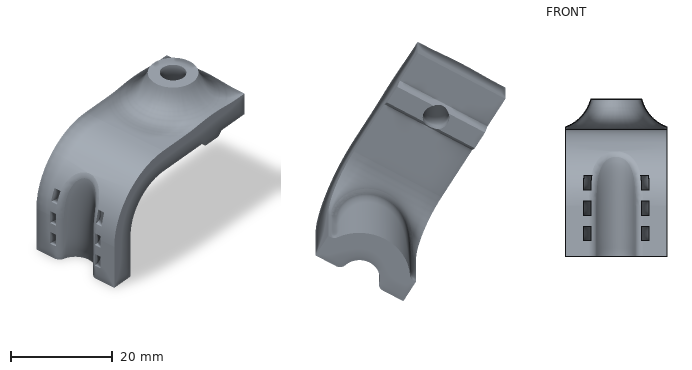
import cadquery as cq
import math

width = 20.0
length = 40.0
thickness = 5.0
outer_bend = 15.0
inner_bend = outer_bend - thickness
leg_straight = 10.0
arm_top = leg_straight + outer_bend
arm_bottom = arm_top - thickness

boss_y = 30.0
boss_height = 6.0
boss_top_radius = 5.0
flare_radius = 8.0
hole_diameter = 5.25
ridge_base = 6.0
ridge_tip = 4.0
ridge_depth = 1.0

channel_radius = 4.0
channel_round = 1.5
rib_radius = 10.0
rib_fillet = 1.2

slot_inner_radius = 5.0
slot_outer_radius = 6.5
slot_height = 2.85
slot_bottom = 3.1
slot_pitch = 5.0
slot_count = 3

margin = 0.2

corner = math.sqrt(0.5)


def across_width(profile):
    """Extrude a YZ profile over the full part width, centred on x = 0."""
    return profile.extrude(width / 2, both=True)


def outer_path():
    """YZ path up the front of the leg and round the outside of the bend."""
    bend_middle = (outer_bend * (1 - corner), leg_straight + outer_bend * corner)
    return (
        cq.Workplane("YZ")
        .lineTo(0, leg_straight)
        .threePointArc(bend_middle, (outer_bend, arm_top))
    )


def bent_plate():
    bend_y = outer_bend
    bend_z = leg_straight
    return across_width(
        outer_path()
        .lineTo(length, arm_top)
        .lineTo(length, arm_bottom)
        .lineTo(bend_y, arm_bottom)
        .threePointArc((bend_y - inner_bend * corner, bend_z + inner_bend * corner), (thickness, bend_z))
        .lineTo(thickness, 0)
        .close()
    )


def rib():
    """Half-round column trimmed to stay under the outer surface of the bend."""
    envelope = across_width(
        outer_path()
        .lineTo(outer_bend, 0)
        .close()
    )
    return cq.Workplane("XY").circle(rib_radius).extrude(arm_bottom).intersect(envelope)


def boss():
    """Boss whose concave flare runs out tangent to the arm, trimmed to the arm outline."""
    center_z = arm_top + flare_radius
    boss_top = arm_top + boss_height
    base_radius = boss_top_radius + math.sqrt(flare_radius**2 - (center_z - boss_top) ** 2)
    flare = (
        cq.Workplane("XZ")
        .moveTo(0, arm_bottom)
        .lineTo(base_radius, arm_bottom)
        .lineTo(base_radius, arm_top)
        .threePointArc(
            (base_radius - flare_radius * corner, center_z - flare_radius * corner),
            (boss_top_radius, boss_top),
        )
        .lineTo(0, boss_top)
        .close()
        .revolve(360, (0, 0, 0), (0, 1, 0))
        .translate((0, boss_y, 0))
    )
    arm_outline = cq.Workplane("XY").box(width, length, boss_top, centered=(True, False, False))
    return flare.intersect(arm_outline)


def ridge():
    tip_z = arm_bottom - ridge_depth
    return across_width(
        cq.Workplane("YZ").polyline([
            (boss_y - ridge_base / 2, arm_bottom),
            (boss_y - ridge_tip / 2, tip_z),
            (boss_y + ridge_tip / 2, tip_z),
            (boss_y + ridge_base / 2, arm_bottom),
        ]).close()
    )


def strap_slot(bottom):
    return (
        cq.Workplane("XY", origin=(0, 0, bottom))
        .circle(slot_outer_radius)
        .circle(slot_inner_radius)
        .extrude(slot_height)
    )


body = bent_plate().union(rib())
rib_half_chord = math.sqrt(rib_radius**2 - thickness**2)
rib_joint = cq.selectors.BoxSelector(
    (-rib_half_chord - margin, thickness - margin, margin),
    (rib_half_chord + margin, rib_radius + margin, arm_bottom - margin),
)
body = body.edges(rib_joint).fillet(rib_fillet)

body = body.cut(cq.Workplane("XY").circle(channel_radius).extrude(arm_top))
channel_mouth = cq.selectors.BoxSelector(
    (-channel_radius - margin, -margin, margin),
    (channel_radius + margin, channel_radius + margin, arm_top - margin),
)
body = body.edges(channel_mouth).fillet(channel_round)

for index in range(slot_count):
    body = body.cut(strap_slot(slot_bottom + index * slot_pitch))

body = body.union(boss()).union(ridge())
hole = cq.Workplane("XY").center(0, boss_y).circle(hole_diameter / 2).extrude(arm_top + boss_height)
result = body.cut(hole)